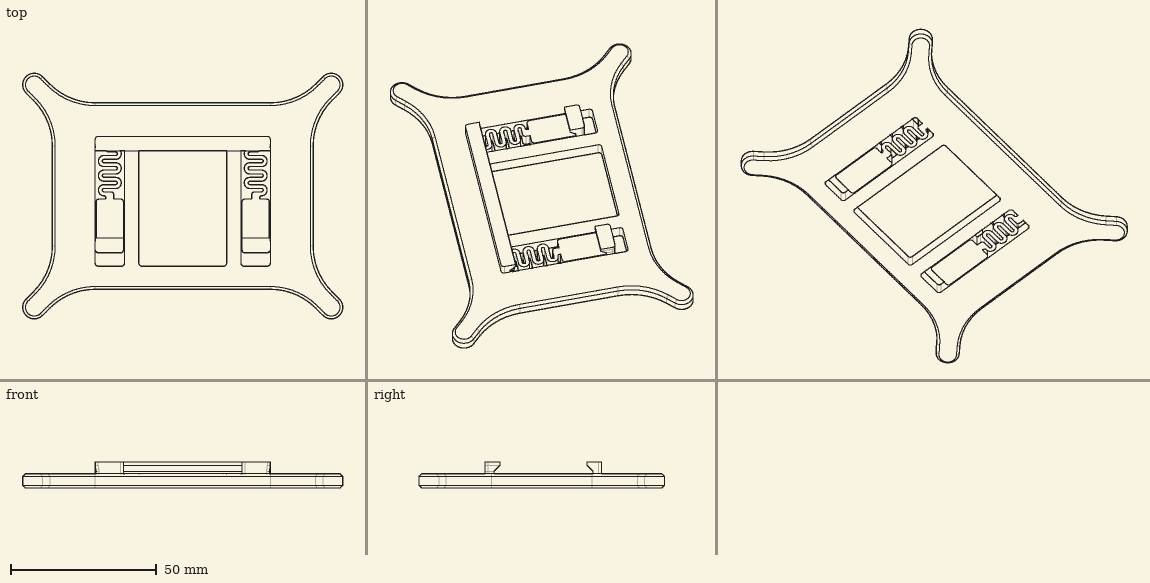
import cadquery as cq
import math

plate_thickness = 5.0
plate_half_x = 44.75
plate_half_y = 32.0
overall_x = 109.82
overall_y = 84.27
arm_tip_radius = 4.0
arm_web_radius = 22.0
edge_chamfer = 1.0
arm_tip_x = overall_x / 2 - arm_tip_radius
arm_tip_y = overall_y / 2 - arm_tip_radius

opening_top_y = 17.5
opening_bottom_y = -24.0
opening_corner_radius = 1.0
window_width = 30.0
slot_width = 10.0
slot_center_x = 25.0

overall_height = 9.0
lip_overhang = 2.0
lip_edge_thickness = 1.2
rail_stem_depth = 3.0
rail_corner_radius = 1.0
rail_length = 2 * slot_center_x + slot_width

latch_clearance = 0.3
latch_width = slot_width - 2 * latch_clearance
latch_top_y = -1.0
latch_bottom_y = -19.5
latch_corner_radius = 1.0
latch_stem_depth = 3.2

strand_count = 7
strand_pitch = 2.5
strand_width = 1.4
spring_width = 7.9
neck_width = 2.8
neck_outer_radius = 1.0
neck_inner_radius = 0.5
spring_center_y = (opening_top_y + latch_top_y) / 2


def box_between(x_min, x_max, y_min, y_max, height):
    """Block standing on the bottom plane between the given sides."""
    return cq.Workplane("XY").box(
        x_max - x_min, y_max - y_min, height, centered=False
    ).translate((x_min, y_min, 0))


def arm_corner():
    """Solid for the quarter of the plate in +X +Y, with its arm at 45 degrees."""
    diagonal = math.sqrt(0.5)
    tip_shift = arm_tip_radius * diagonal
    web_shift = arm_web_radius * diagonal
    web_rise = arm_web_radius - web_shift
    web_middle_angle = math.radians(45 / 2)
    web_middle_run = arm_web_radius * math.sin(web_middle_angle)
    web_middle_rise = arm_web_radius * (1 - math.cos(web_middle_angle))
    skew = arm_tip_x - arm_tip_y

    web_start_x = plate_half_y + web_rise - web_shift + skew - 2 * tip_shift
    web_start_y = plate_half_x + web_rise - web_shift - skew - 2 * tip_shift

    return (
        cq.Workplane("XY")
        .lineTo(plate_half_x, 0)
        .lineTo(plate_half_x, web_start_y)
        .threePointArc(
            (plate_half_x + web_middle_rise, web_start_y + web_middle_run),
            (plate_half_x + web_rise, web_start_y + web_shift),
        )
        .lineTo(arm_tip_x + tip_shift, arm_tip_y - tip_shift)
        .threePointArc(
            (arm_tip_x + tip_shift, arm_tip_y + tip_shift),
            (arm_tip_x - tip_shift, arm_tip_y + tip_shift),
        )
        .lineTo(web_start_x + web_shift, plate_half_y + web_rise)
        .threePointArc(
            (web_start_x + web_middle_run, plate_half_y + web_middle_rise),
            (web_start_x, plate_half_y),
        )
        .lineTo(0, plate_half_y)
        .close()
        .extrude(plate_thickness)
    )


def opening(center_x, width):
    """Through opening with rounded corners."""
    return box_between(
        center_x - width / 2, center_x + width / 2, opening_bottom_y, opening_top_y, plate_thickness
    ).edges("|Z").fillet(opening_corner_radius)


def plate():
    """Four-armed plate, chamfered all round, with the window and the two latch slots."""
    half = arm_corner()
    half = half.union(half.mirror("YZ"))
    outline = half.union(half.mirror("XZ")).clean()
    body = outline.faces("<Z or >Z").edges().chamfer(edge_chamfer)
    body = body.cut(opening(0, window_width))
    for side in (-1, 1):
        body = body.cut(opening(side * slot_center_x, slot_width))
    return body


def catch_profile(x_min, x_max, back_y, front_y, corner_radius, base_z):
    """Rectangle lying at height base_z, with its two corners at back_y rounded."""
    direction = math.copysign(1, front_y - back_y)
    arc_start_y = back_y + direction * corner_radius
    arc_inset = corner_radius * (1 - math.sqrt(0.5))
    arc_middle_y = back_y + direction * arc_inset
    return (
        cq.Workplane("XY", origin=(0, 0, base_z))
        .moveTo(x_min, front_y)
        .lineTo(x_min, arc_start_y)
        .threePointArc((x_min + arc_inset, arc_middle_y), (x_min + corner_radius, back_y))
        .lineTo(x_max - corner_radius, back_y)
        .threePointArc((x_max - arc_inset, arc_middle_y), (x_max, arc_start_y))
        .lineTo(x_max, front_y)
        .close()
    )


def catch(length, back_y, stem_y, corner_radius, lip_side_reach=0.0):
    """Stem and lip centred on X = 0; the lip overhangs the stem beyond stem_y, away from back_y.

    On the -X side the lip reaches lip_side_reach past the stem; a taper joins the two.
    """
    x_min = -length / 2
    x_max = length / 2
    lip_y = stem_y + math.copysign(lip_overhang, stem_y - back_y)
    lip_z = overall_height - lip_edge_thickness
    taper_z = lip_z - lip_overhang
    stem = catch_profile(x_min, x_max, back_y, stem_y, corner_radius, 0).extrude(taper_z)
    lip_profile = catch_profile(x_min - lip_side_reach, x_max, back_y, lip_y, corner_radius, lip_z)
    taper_profile = catch_profile(x_min, x_max, back_y, stem_y, corner_radius, taper_z)
    taper = cq.Solid.makeLoft([taper_profile.wire().val(), lip_profile.wire().val()], True)
    return stem.union(cq.Workplane(taper)).union(lip_profile.extrude(lip_edge_thickness))


def latch():
    """Sliding block with its catch, centred on X = 0, for the slot on the -X side."""
    block = box_between(
        -latch_width / 2, latch_width / 2, latch_bottom_y, latch_top_y, plate_thickness
    ).edges("|Z").fillet(latch_corner_radius)
    stem_y = latch_bottom_y + latch_stem_depth
    return block.union(catch(latch_width, latch_bottom_y, stem_y, latch_corner_radius, latch_clearance))


def spring_bend(side, center_y):
    """Half ring joining two neighbouring strands at one side of the spring."""
    outer_radius = (strand_pitch + strand_width) / 2
    inner_radius = (strand_pitch - strand_width) / 2
    bend_x = side * (spring_width / 2 - outer_radius)
    ring = (
        cq.Workplane("XY").center(bend_x, center_y)
        .circle(outer_radius).circle(inner_radius).extrude(plate_thickness)
    )
    outer_half = box_between(
        0, outer_radius, center_y - outer_radius, center_y + outer_radius, plate_thickness
    )
    if side < 0:
        outer_half = outer_half.mirror("YZ")
    return ring.intersect(outer_half.translate((bend_x, 0, 0)))


def spring_end(bend_x):
    """Last strand, turning down into the neck on the latch block; the strand starts at -bend_x."""
    strand_y = spring_center_y - strand_pitch * (strand_count - 1) / 2
    strand_top = strand_y + strand_width / 2
    strand_bottom = strand_y - strand_width / 2
    half_neck = neck_width / 2
    return (
        cq.Workplane("XY")
        .moveTo(-bend_x, strand_top)
        .lineTo(half_neck - neck_outer_radius, strand_top)
        .radiusArc((half_neck, strand_top - neck_outer_radius), neck_outer_radius)
        .lineTo(half_neck, latch_top_y)
        .lineTo(-half_neck, latch_top_y)
        .lineTo(-half_neck, strand_bottom - neck_inner_radius)
        .radiusArc((-half_neck - neck_inner_radius, strand_bottom), -neck_inner_radius)
        .lineTo(-bend_x, strand_bottom)
        .close()
        .extrude(plate_thickness)
    )


def spring():
    """Serpentine spring centred on X = 0, alike when turned half a turn about its middle."""
    bend_x = (spring_width - strand_pitch - strand_width) / 2
    first_y = spring_center_y + strand_pitch * (strand_count - 1) / 2
    end = spring_end(bend_x)
    body = end.union(end.rotate((0, spring_center_y, 0), (0, spring_center_y, 1), 180))
    for index in range(1, strand_count - 1):
        strand_y = first_y - index * strand_pitch
        body = body.union(
            box_between(
                -bend_x, bend_x, strand_y - strand_width / 2, strand_y + strand_width / 2, plate_thickness
            )
        )
    for index in range(strand_count - 1):
        side = 1 if index % 2 == 0 else -1
        body = body.union(spring_bend(side, first_y - (index + 0.5) * strand_pitch))
    return body


rail = catch(rail_length, opening_top_y + rail_stem_depth, opening_top_y, rail_corner_radius)
result = plate().union(rail)
sprung_latch = latch().union(spring())
result = result.union(sprung_latch.translate((-slot_center_x, 0, 0)))
result = result.union(sprung_latch.mirror("YZ").translate((slot_center_x, 0, 0))).clean()